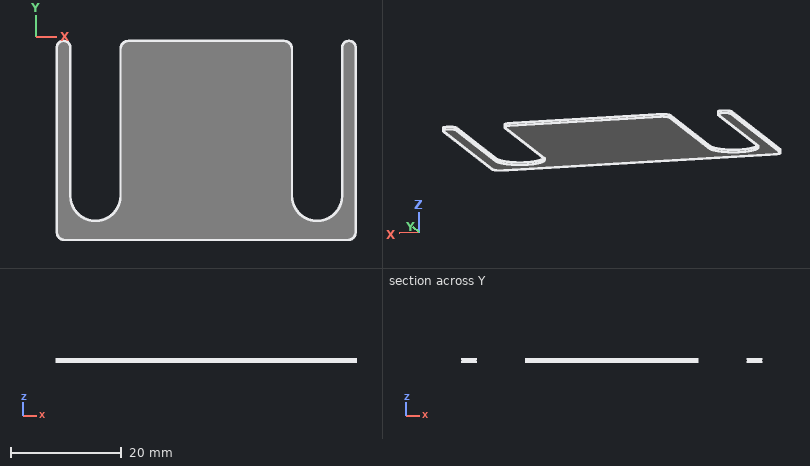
import cadquery as cq

length = 54.0
width = 36.0
thickness = 0.5

arm_width = 2.5
slot_width = 9.0
base_width = 3.5
corner_radius = 1.5

slot_radius = slot_width / 2
slot_center_x = length / 2 - arm_width - slot_radius
slot_center_y = base_width + slot_radius
tongue_half_width = slot_center_x - slot_radius
arm_center_x = (length - arm_width) / 2
arm_tip_radius = arm_width / 2


def box(center_x, bottom_y, size_x, size_y):
    """Plate-thick block standing on bottom_y."""
    return (
        cq.Workplane("XY")
        .center(center_x, bottom_y + size_y / 2)
        .rect(size_x, size_y)
        .extrude(thickness)
    )


def round_ended_slot(center_x):
    """Slot with a semicircular floor, open at the +Y edge."""
    round_floor = (
        cq.Workplane("XY")
        .center(center_x, slot_center_y)
        .circle(slot_radius)
        .extrude(thickness)
    )
    return box(center_x, slot_center_y, slot_width, width - slot_center_y).union(round_floor)


def arm_tip(center_x):
    """Square end of an arm minus its semicircular tip."""
    tip_y = width - arm_tip_radius
    round_tip = (
        cq.Workplane("XY")
        .center(center_x, tip_y)
        .circle(arm_tip_radius)
        .extrude(thickness)
    )
    return box(center_x, tip_y, arm_width, arm_tip_radius).cut(round_tip)


plate = box(0, 0, length, width).edges("|Z and <Y").fillet(corner_radius)
for side in (-1, 1):
    plate = plate.cut(round_ended_slot(side * slot_center_x))
    plate = plate.cut(arm_tip(side * arm_center_x))

tongue_corners = cq.selectors.BoxSelector(
    (-tongue_half_width - 0.55, width - 0.55, -0.55),
    (tongue_half_width + 0.55, width + 0.55, thickness + 0.55),
)
result = plate.edges("|Z").edges(tongue_corners).fillet(corner_radius)